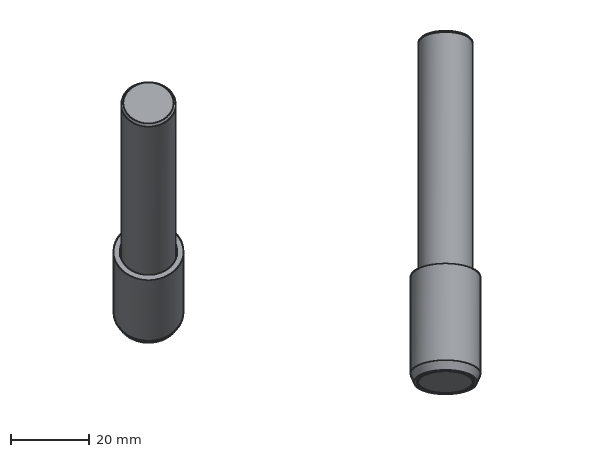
import cadquery as cq

total_length = 95.0
pin_diameter = 14.0
pin_chamfer_height = 0.7
pin_chamfer_inset = 0.6
sleeve_diameter = 18.0
sleeve_length = 29.2
sleeve_taper_height = 2.3
sleeve_taper_inset = 0.95
radial_clearance = 0.4

bore_diameter = pin_diameter + 2 * radial_clearance


def make_pin():
    """Round pin standing on Z = 0, chamfered at its top end."""
    pin_radius = pin_diameter / 2
    profile = (
        cq.Workplane("XZ")
        .lineTo(pin_radius, 0)
        .lineTo(pin_radius, total_length - pin_chamfer_height)
        .lineTo(pin_radius - pin_chamfer_inset, total_length)
        .lineTo(0, total_length)
        .close()
    )
    return profile.revolve(360, (0, 0, 0), (0, 1, 0))


def make_sleeve():
    """Sleeve with a tapered lower end and a through bore that clears the pin."""
    outer_radius = sleeve_diameter / 2
    bore_radius = bore_diameter / 2
    profile = (
        cq.Workplane("XZ")
        .moveTo(bore_radius, 0)
        .lineTo(outer_radius - sleeve_taper_inset, 0)
        .lineTo(outer_radius, sleeve_taper_height)
        .lineTo(outer_radius, sleeve_length)
        .lineTo(bore_radius, sleeve_length)
        .close()
    )
    return profile.revolve(360, (0, 0, 0), (0, 1, 0))


pin = make_pin()
sleeve = make_sleeve()

result = cq.Compound.makeCompound([pin.val(), sleeve.val()])